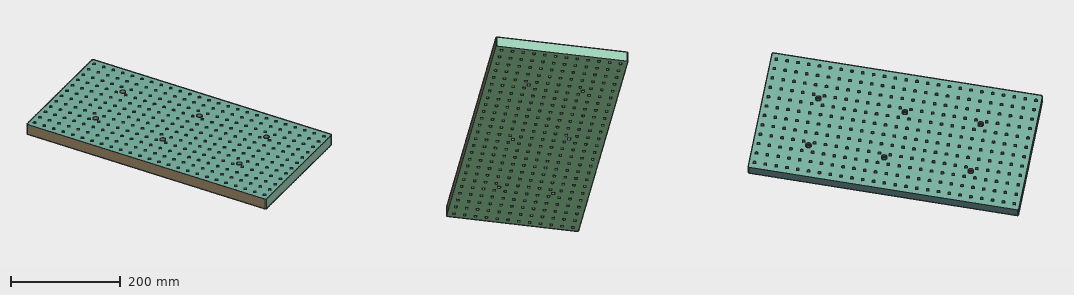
import cadquery as cq

length = 500.0
width = 244.16
thickness = 21.59
corner_chamfer = 1.92

grid_pitch = 20.0
grid_columns = 25
grid_rows = 12
grid_hole_diameter = 5.04

mount_hole_diameter = 6.25
counterbore_diameter = 10.25
counterbore_depth = 6.25
mount_row_spacing = 5 * grid_pitch
mount_rear_y = 56.95
mount_front_y = mount_rear_y - mount_row_spacing
mount_inner_x = grid_pitch / 2
mount_outer_x = mount_inner_x + 7 * grid_pitch

mount_points = [
    (-mount_outer_x, mount_rear_y),
    (mount_inner_x, mount_rear_y),
    (mount_outer_x, mount_rear_y),
    (-mount_outer_x, mount_front_y),
    (-mount_inner_x, mount_front_y),
    (mount_outer_x, mount_front_y),
]


def make_plate():
    """Flat rectangular plate with chamfered vertical corners, resting on Z = 0."""
    plate = cq.Workplane("XY").box(length, width, thickness, centered=(True, True, False))
    return plate.edges("|Z").chamfer(corner_chamfer)


def top_plane(plate):
    """Workplane on the top face, centred on the plate."""
    return plate.faces(">Z").workplane(origin=(0, 0, thickness))


def drill_grid(plate):
    """Drill the regular grid of through holes."""
    grid = top_plane(plate).rarray(grid_pitch, grid_pitch, grid_columns, grid_rows)
    return grid.hole(grid_hole_diameter)


def drill_mounts(plate):
    """Drill the counterbored mounting holes through the plate from the top."""
    mounts = top_plane(plate).pushPoints(mount_points)
    return mounts.cboreHole(mount_hole_diameter, counterbore_diameter, counterbore_depth)


result = drill_mounts(drill_grid(make_plate()))